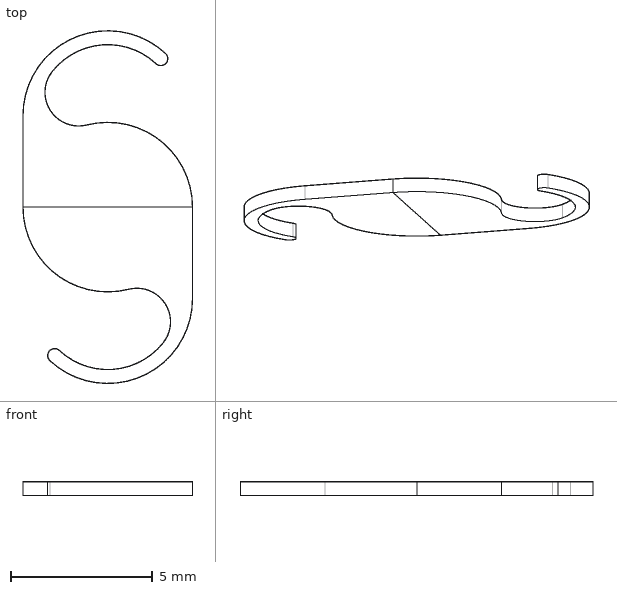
import cadquery as cq
import math

total_length = 12.48
width = 6.0
thickness = 0.5
hook_wall = 0.5
throat_radius = 1.19
tip_angle = 47.0

outer_radius = width / 2
inner_radius = outer_radius - hook_wall
middle_radius = outer_radius - hook_wall / 2
hook_center = (0, total_length / 2 - outer_radius)
belly_center = (0, 0)

belly_to_throat = outer_radius + throat_radius
hook_to_throat = inner_radius - throat_radius
throat_y = (belly_to_throat**2 - hook_to_throat**2 + hook_center[1]**2) / (2 * hook_center[1])
throat_x = -math.sqrt(belly_to_throat**2 - throat_y**2)
throat_center = (throat_x, throat_y)


def on_circle(center, radius, angle):
    """Point on a circle at an angle in degrees from +X."""
    turn = math.radians(angle)
    return (center[0] + radius * math.cos(turn), center[1] + radius * math.sin(turn))


def direction(start, end):
    """Angle in degrees of the line from start to end."""
    return math.degrees(math.atan2(end[1] - start[1], end[0] - start[0]))


def make_hook_half():
    """Half-round belly with one hook, on the +Y side of the joint."""
    belly_end_angle = direction(belly_center, throat_center)
    throat_start_angle = belly_end_angle - 180
    throat_end_angle = direction(hook_center, throat_center) - 360
    throat_middle_angle = (throat_start_angle + throat_end_angle) / 2
    inner_start_angle = throat_end_angle + 360
    inner_middle_angle = (inner_start_angle + tip_angle) / 2
    outer_middle_angle = (tip_angle + 180) / 2
    tip_center = on_circle(hook_center, middle_radius, tip_angle)

    return (
        cq.Workplane("XY")
        .moveTo(-outer_radius, 0)
        .lineTo(outer_radius, 0)
        .threePointArc(
            on_circle(belly_center, outer_radius, belly_end_angle / 2),
            on_circle(belly_center, outer_radius, belly_end_angle),
        )
        .threePointArc(
            on_circle(throat_center, throat_radius, throat_middle_angle),
            on_circle(throat_center, throat_radius, throat_end_angle),
        )
        .threePointArc(
            on_circle(hook_center, inner_radius, inner_middle_angle),
            on_circle(hook_center, inner_radius, tip_angle),
        )
        .threePointArc(
            on_circle(tip_center, hook_wall / 2, tip_angle - 90),
            on_circle(hook_center, outer_radius, tip_angle),
        )
        .threePointArc(
            on_circle(hook_center, outer_radius, outer_middle_angle),
            (-outer_radius, hook_center[1]),
        )
        .close()
        .extrude(thickness)
    )


hook_half = make_hook_half()
hook_halves = []
for turn_angle in (0, 180):
    turned_half = hook_half.rotate((0, 0, 0), (0, 0, 1), turn_angle)
    hook_halves.append(turned_half.val())

result = cq.Compound.makeCompound(hook_halves)